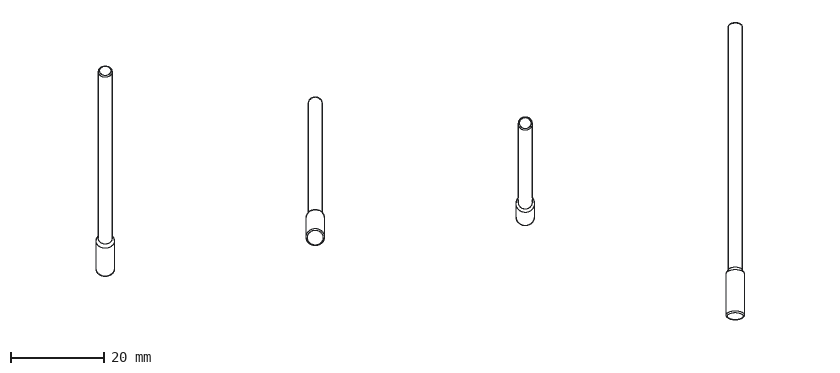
import cadquery as cq
import math

total_length = 70.0
head_diameter = 4.0
shank_diameter = 3.0
head_length = 11.05
cone_half_angle = 30.0
head_chamfer = 0.3
shank_chamfer = 0.3

head_radius = head_diameter / 2
shank_radius = shank_diameter / 2
cone_height = (head_radius - shank_radius) / math.tan(math.radians(cone_half_angle))
shoulder_height = head_length - cone_height


def revolve_profile(points):
    """Turn a closed (radius, height) outline once around the Z axis."""
    return cq.Workplane("XZ").polyline(points).close().revolve(360, (0, 0, 0), (0, 1, 0))


def make_head():
    """Cylindrical head with a chamfered lower rim, tapering to the shank at its top."""
    return revolve_profile([
        (0, 0),
        (head_radius - head_chamfer, 0),
        (head_radius, head_chamfer),
        (head_radius, shoulder_height),
        (shank_radius, head_length),
        (0, head_length),
    ])


def make_shank():
    """Slender round shank standing on the head, with a chamfered upper rim."""
    return revolve_profile([
        (0, head_length),
        (shank_radius, head_length),
        (shank_radius, total_length - shank_chamfer),
        (shank_radius - shank_chamfer, total_length),
        (0, total_length),
    ])


head = make_head()
shank = make_shank()

result = cq.Compound.makeCompound([head.val(), shank.val()])